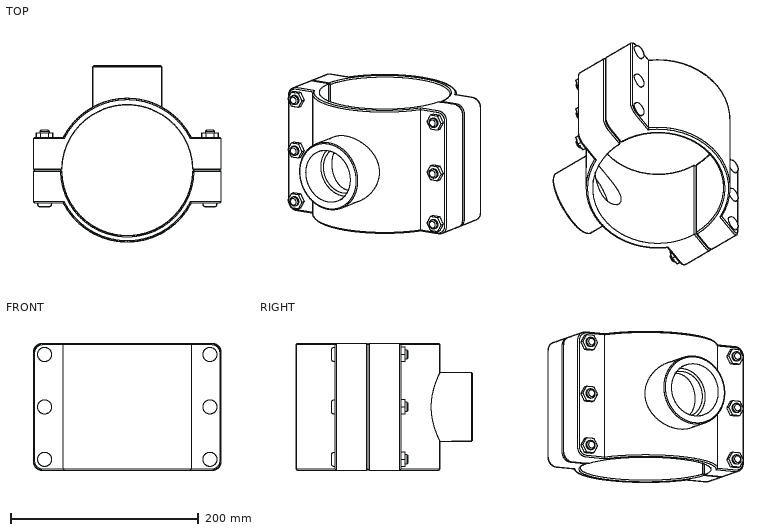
import cadquery as cq
import math

width = 201.0
height = 136.0
bore_diameter = 139.9
wall = 7.0
ear_thickness = 35.2
ear_corner_radius = 10.0
edge_chamfer = 1.5

branch_end = 111.8
branch_diameter = 74.0
branch_chamfer = 1.2
passage_diameter = 50.0
socket_diameter = 56.7
socket_depth = 29.7

bolt_x = 88.5
bolt_pitch = 56.0
bolt_diameter = 10.0
head_diameter = 15.0
head_height = 4.0
head_rounding = 2.8
nut_across_corners = 17.9
nut_height = 4.6
bolt_projection = 3.2
bolt_tip_chamfer = 1.5

bore_radius = bore_diameter / 2
outer_radius = bore_radius + wall
ear_root_x = math.sqrt(outer_radius**2 - ear_thickness**2)
tolerance = 0.02


def cylinder_along_y(diameter, start, end):
    """Cylinder on the Y axis between two Y positions."""
    return cq.Workplane("XZ", origin=(0, start, 0)).circle(diameter / 2).extrude(start - end)


def blank_half(side):
    """Sharp-edged half clamp on the side of Y given by the sign."""
    barrel = cq.Workplane("XY").circle(outer_radius).extrude(height / 2, both=True)
    ears = (
        cq.Workplane("XY")
        .box(width, 2 * ear_thickness, height)
        .edges("|Y")
        .fillet(ear_corner_radius)
    )
    bore = cq.Workplane("XY").circle(bore_radius).extrude(height / 2, both=True)
    half_space = cq.Workplane("XY").box(width, width, height).translate((0, side * width / 2, 0))
    return barrel.union(ears).cut(bore).intersect(half_space)


def is_chamfered(edge, side, chamfer_bore_rims):
    """True for an edge around the split faces, the ear faces or the two ends."""
    box = edge.BoundingBox()
    middle = edge.positionAt(0.5)
    on_split = box.ylen < tolerance and abs(middle.y) < tolerance
    on_ear_face = box.ylen < tolerance and abs(middle.y - side * ear_thickness) < tolerance
    at_ear_root = box.zlen > height / 2 and abs(abs(middle.x) - ear_root_x) < tolerance
    on_end = box.zlen < tolerance and abs(abs(middle.z) - height / 2) < tolerance
    is_arc = edge.geomType() == "CIRCLE"
    bore_rim = on_end and is_arc and abs(math.hypot(middle.x, middle.y) - bore_radius) < tolerance
    barrel_rim = on_end and is_arc and not bore_rim
    return (
        on_split
        or (on_ear_face and not at_ear_root)
        or barrel_rim
        or (bore_rim and chamfer_bore_rims)
    )


def clamp_half(side, chamfer_bore_rims):
    """Half clamp with its outer and split edges broken."""
    blank = blank_half(side)
    chosen = [edge for edge in blank.edges().vals() if is_chamfered(edge, side, chamfer_bore_rims)]
    return blank.newObject(chosen).chamfer(edge_chamfer)


def branch():
    """Round branch, still solid, rooted in the middle of the barrel wall."""
    post = cylinder_along_y(branch_diameter, 0, branch_end).faces(">Y").chamfer(branch_chamfer)
    root = cq.Workplane("XY").circle(bore_radius + wall / 2).extrude(height / 2, both=True)
    return post.cut(root)


def branch_bore():
    """Passage into the clamp bore with a wider socket at the open end."""
    passage = cylinder_along_y(passage_diameter, 0, branch_end)
    return passage.union(cylinder_along_y(socket_diameter, branch_end - socket_depth, branch_end))


def bolt():
    """Round head on the front ear, shank, nut and bolt tip on the rear ear."""
    nut_end = ear_thickness + nut_height
    head = cylinder_along_y(head_diameter, -ear_thickness - head_height, -ear_thickness)
    head = head.faces("<Y").edges().fillet(head_rounding)
    shank = cylinder_along_y(bolt_diameter, -ear_thickness, nut_end + bolt_projection)
    shank = shank.faces(">Y").chamfer(bolt_tip_chamfer)
    nut = (
        cq.Workplane("XZ", origin=(0, ear_thickness, 0))
        .polygon(6, nut_across_corners)
        .extrude(-nut_height)
    )
    return head.union(shank).union(nut)


rear_half = clamp_half(1, False).union(branch()).cut(branch_bore())
front_half = clamp_half(-1, True)

result = rear_half.union(front_half)
for x in (-bolt_x, bolt_x):
    for row in (-1, 0, 1):
        result = result.union(bolt().translate((x, 0, row * bolt_pitch)))